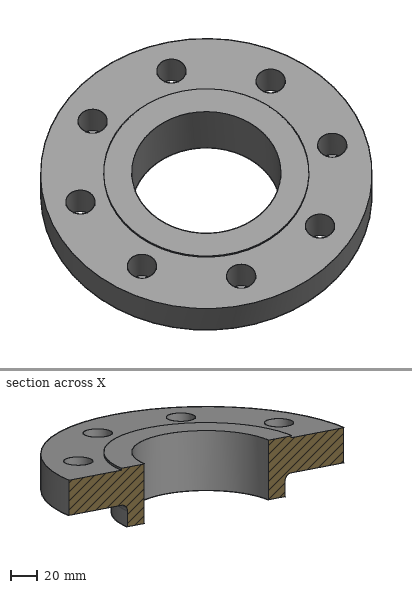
import cadquery as cq

flange_diameter = 254.0
total_height = 48.0

face_diameter = 157.2
face_height = 1.5

flange_thickness = 28.5
hub_diameter = 146.0
hub_fillet = 5.0

bore_diameter = 114.3
hole_count = 8
hole_diameter = 22.4
bolt_circle_diameter = 200.2
first_hole_angle = 180.0 / hole_count

hub_height = total_height - face_height - flange_thickness


def make_body():
    """Hub, flange and raised face stacked upwards from Z = 0."""
    hub = cq.Workplane("XY").circle(hub_diameter / 2).extrude(hub_height)
    flange = (
        cq.Workplane("XY")
        .workplane(offset=hub_height)
        .circle(flange_diameter / 2)
        .extrude(flange_thickness)
    )
    face = (
        cq.Workplane("XY")
        .workplane(offset=hub_height + flange_thickness)
        .circle(face_diameter / 2)
        .extrude(face_height)
    )
    hub_root = cq.selectors.RadiusNthSelector(0)
    body = hub.union(flange)
    body = body.faces("<Z[1]").edges(hub_root).fillet(hub_fillet)
    return body.union(face)


def make_bore():
    return cq.Workplane("XY").circle(bore_diameter / 2).extrude(total_height)


def make_bolt_holes():
    """Bolt holes straddling the X and Y axes."""
    return (
        cq.Workplane("XY")
        .polarArray(bolt_circle_diameter / 2, first_hole_angle, 360, hole_count)
        .circle(hole_diameter / 2)
        .extrude(total_height)
    )


result = make_body().cut(make_bore()).cut(make_bolt_holes())